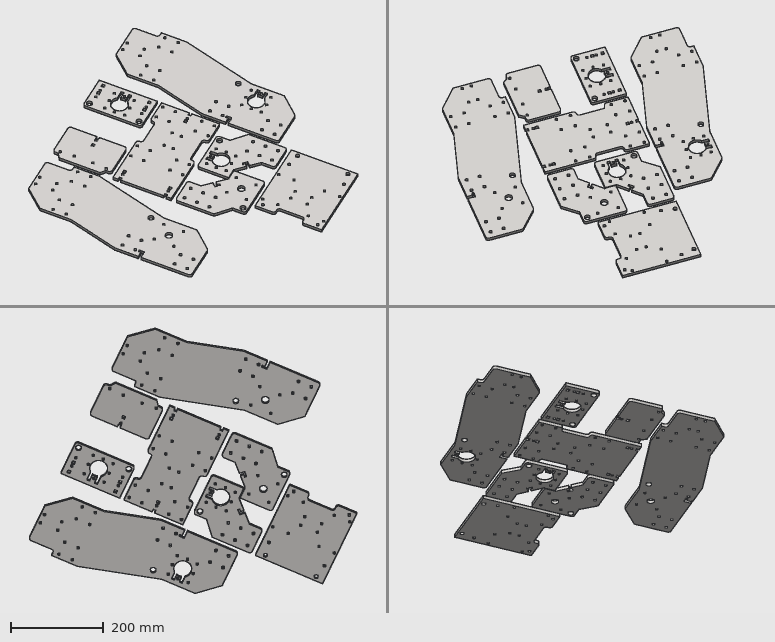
import cadquery as cq
import math


THICKNESS = 8.0
SHEET_LENGTH = 621.5
SHEET_WIDTH = 604.0
PLATE_GAP = 10.0
CORNER_RADIUS = 6.0

SMALL_HOLE = 5.3
SCREW_HOLE = 5.5
FRAME_HOLE = 6.0
MOUNT_HOLE = 9.0
CORNER_HOLE = 12.5
SHAFT_HOLE = 16.0
TAB_SLOT = 6.0

BORE_DIAMETER = 38.5
MOTOR_SCREW_OFFSET = 23.5
MIDDLE_HOLE_OFFSET = 25.0
RELIEF_INNER = 5.9
RELIEF_OUTER = 12.5
RELIEF_REACH = 30.5

HOOK_SLOT_WIDTH = 6.0
HOOK_ARM_LENGTH = 6.0
HOOK_ARM_WIDTH = 4.05

SIDE_LENGTH = 426.0
SIDE_WIDTH = 172.0
NARROW_WIDTH = 140.0
MOTOR_PLATE_DEPTH = 80.0
REAR_PLATE_DEPTH = 91.0
BED_WIDTH = 160.0
BED_DEPTH = 179.5
MIDDLE_TOP = SHEET_WIDTH / 2 - SIDE_WIDTH - PLATE_GAP
BASE_DEPTH = 2 * MIDDLE_TOP


def plate_from(points):
    return cq.Workplane("XY").polyline(points).close().extrude(THICKNESS)


def rectangle(left, right, bottom, top):
    return plate_from([(left, bottom), (right, bottom), (right, top), (left, top)])


def mirrored(points):
    """The points followed by their mirror images across the Y axis."""
    return points + [(-x, y) for x, y in points]


def grid(x_values, y_values):
    return [(x, y) for x in x_values for y in y_values]


def round_corners(plate, points, radius=CORNER_RADIUS):
    for x, y in points:
        corner = cq.selectors.NearestToPointSelector((x, y, THICKNESS / 2))
        plate = plate.edges(corner).fillet(radius)
    return plate


def drill(plate, points, diameter):
    drills = cq.Workplane("XY").pushPoints(points).circle(diameter / 2).extrude(THICKNESS)
    return plate.cut(drills)


def cut_squares(plate, points):
    squares = cq.Workplane("XY").pushPoints(points).rect(TAB_SLOT, TAB_SLOT).extrude(THICKNESS)
    return plate.cut(squares)


def cut_motor_corners(plate, center):
    x, y = center
    offsets = (-MOTOR_SCREW_OFFSET, MOTOR_SCREW_OFFSET)
    return drill(plate, [(x + dx, y + dy) for dx, dy in grid(offsets, offsets)], SMALL_HOLE)


def cut_motor_mount(plate, center, relief_reach=RELIEF_REACH, turn=0):
    """Motor bore with two relief slots (toward +Y, then turned), corner screws and middle holes."""
    opening = cq.Workplane("XY").circle(BORE_DIAMETER / 2).extrude(THICKNESS)
    opening = opening.union(rectangle(-RELIEF_OUTER, -RELIEF_INNER, 0, relief_reach))
    opening = opening.union(rectangle(RELIEF_INNER, RELIEF_OUTER, 0, relief_reach))
    middle_holes = (
        cq.Workplane("XY")
        .polarArray(MIDDLE_HOLE_OFFSET, 0, 360, 4)
        .circle(SMALL_HOLE / 2)
        .extrude(THICKNESS)
    )
    opening = opening.rotate((0, 0, 0), (0, 0, 1), turn).translate((*center, 0))
    plate = plate.cut(opening).cut(middle_holes.translate((*center, 0)))
    return cut_motor_corners(plate, center)


def cut_hook_slot(plate, mouth, depth, turn=0):
    """L-shaped slot entering at the mouth toward +Y, its arm toward -X, then turned."""
    half = HOOK_SLOT_WIDTH / 2
    overrun = 1.0
    slot = rectangle(-half, half, -overrun, depth)
    slot = slot.union(rectangle(-half - HOOK_ARM_LENGTH, half, depth - HOOK_ARM_WIDTH, depth))
    return plate.cut(slot.rotate((0, 0, 0), (0, 0, 1), turn).translate((*mouth, 0)))


SIDE_MOTOR_CENTER = (332.0, 84.0)
LONG_SLOPE = math.tan(math.radians(15))


def side_plate_blank():
    step_x, step_y = 61.0, 159.0
    left_slope_start = 73.5
    left_foot = (47.0, 32.5)
    bend_x = 122.0
    top_flat = 124.0
    nose = (380.0, 83.0)
    plate = plate_from([
        (0, left_slope_start),
        left_foot,
        (bend_x, left_foot[1]),
        (bend_x + left_foot[1] / LONG_SLOPE, 0),
        (SIDE_LENGTH, 0),
        (SIDE_LENGTH, nose[1]),
        (nose[0], top_flat),
        (bend_x + (SIDE_WIDTH - top_flat) / LONG_SLOPE, top_flat),
        (bend_x, SIDE_WIDTH),
        (step_x, SIDE_WIDTH),
        (step_x, step_y),
        (0, step_y),
    ])
    plate = round_corners(plate, [
        (SIDE_LENGTH, 0), (SIDE_LENGTH, nose[1]), (step_x, step_y), (0, step_y),
    ])

    tail_y = 102.5
    tail_rows = [tail_y + dy for dy in (-60.0, -30.0, 30.0, 60.0)]
    plate = drill(plate, grid((74.0, 105.5), tail_rows), SCREW_HOLE)
    plate = drill(plate, grid((7.5, 48.5), (tail_y - 10.5, tail_y + 10.5)), SCREW_HOLE)

    frame_columns = [SIDE_MOTOR_CENTER[0] + dx for dx in (-77.5, -47.0, 47.0, 77.5)]
    plate = drill(plate, grid(frame_columns, (15.0, 45.0)), FRAME_HOLE)

    plate = drill(plate, [(275.0, 112.5)], CORNER_HOLE)
    return cut_hook_slot(plate, (302.0, 0), 17.5)


def motor_side_plate():
    return cut_motor_mount(side_plate_blank(), SIDE_MOTOR_CENTER)


def shaft_side_plate():
    plate = drill(side_plate_blank(), [SIDE_MOTOR_CENTER], SHAFT_HOLE)
    return cut_motor_corners(plate, SIDE_MOTOR_CENTER)


def motor_plate():
    half = NARROW_WIDTH / 2
    plate = rectangle(-half, half, -MOTOR_PLATE_DEPTH, 0)
    plate = round_corners(plate, mirrored([(half, -MOTOR_PLATE_DEPTH)]))
    plate = cut_motor_mount(plate, (0, -43.5), relief_reach=34.0)
    tab_x = 55.5
    plate = cut_squares(plate, mirrored([(tab_x, -10.5), (tab_x, -34.0)]))
    plate = drill(plate, mirrored([(tab_x, -25.5), (tab_x, -46.5)]), SCREW_HOLE)
    return drill(plate, mirrored([(59.5, -69.5)]), CORNER_HOLE)


def rear_plate():
    half = NARROW_WIDTH / 2
    shoulder_y = -79.5
    plate = plate_from([
        (-half, 0),
        (half, 0),
        (half, shoulder_y),
        (57.0, shoulder_y),
        (49.0, -REAR_PLATE_DEPTH),
        (-49.0, -REAR_PLATE_DEPTH),
        (-57.0, shoulder_y),
        (-half, shoulder_y),
    ])
    plate = round_corners(plate, mirrored([(half, 0), (half, shoulder_y)]))
    plate = cut_squares(plate, [(0, -TAB_SLOT / 2), (0, -25.5)])
    plate = drill(plate, [(0, -10.5)], SCREW_HOLE)
    return drill(plate, mirrored([(55.5, -74.0), (22.5, -72.0)]), SCREW_HOLE)


def base_plate():
    half = NARROW_WIDTH / 2
    waist = half - 13.0
    waist_top = -56.5
    waist_bottom = -121.0
    plate = rectangle(-half, half, -BASE_DEPTH, 0)
    plate = plate.cut(rectangle(waist, half, waist_bottom, waist_top))
    plate = plate.cut(rectangle(-half, -waist, waist_bottom, waist_top))
    plate = round_corners(plate, mirrored(grid((half, waist), (waist_bottom, waist_top))))

    screw_columns = (-62.0, -32.0, 32.0, 62.0)
    plate = drill(plate, grid(screw_columns, (-10.0, -41.5, -135.0, -167.0)), SCREW_HOLE)
    plate = drill(plate, grid((-11.0, 11.0), (-68.5, -108.0)), SCREW_HOLE)

    hole_inset = 17.0
    square_inset = 25.5
    for x, edge_y, inward in ((0, 0, -1), (-55.0, -BASE_DEPTH, 1), (55.0, -BASE_DEPTH, 1)):
        plate = cut_squares(plate, [
            (x, edge_y + inward * TAB_SLOT / 2),
            (x, edge_y + inward * square_inset),
        ])
        plate = drill(plate, [(x, edge_y + inward * hole_inset)], SCREW_HOLE)
    return plate


def bed_plate():
    half = BED_WIDTH / 2
    recess_half = 32.5
    recess_y = 15.5 - BED_DEPTH
    plate = rectangle(-half, half, -BED_DEPTH, 0)
    plate = plate.cut(rectangle(-recess_half, recess_half, -BED_DEPTH, recess_y))
    plate = round_corners(plate, mirrored(grid((recess_half,), (recess_y, -BED_DEPTH))))
    plate = drill(plate, mirrored([(60.0, -9.5)]), MOUNT_HOLE)
    plate = drill(plate, mirrored([(66.0, -40.0), (66.0, -169.5)]), FRAME_HOLE)
    plate = drill(plate, mirrored(grid((36.5, 73.5), (-76.0, -155.5))), SMALL_HOLE)
    return drill(plate, mirrored(grid((20.0,), (-104.5, -126.0))), SMALL_HOLE)


BRACKET_WIDTH = SHEET_LENGTH - 2 * NARROW_WIDTH - BED_WIDTH - 3 * PLATE_GAP
BRACKET_MOTOR_CENTER = (-38.0, 28.0)
BRACKET_SLOPE_ANGLE = 45


def bracket_blank():
    half = BRACKET_WIDTH / 2
    inner_edge = -0.95
    shoulder_y = 87.0
    bottom_y = -12.0
    arm_y = 59.0
    arm_root_x = 44.0
    slope = math.tan(math.radians(BRACKET_SLOPE_ANGLE))
    slope_foot_x = -45.5
    slope_top_x = -17.0
    plate = plate_from([
        (-half, shoulder_y),
        (slope_foot_x, shoulder_y),
        (slope_top_x, MIDDLE_TOP),
        (half, MIDDLE_TOP),
        (half, arm_y),
        (arm_root_x, arm_y),
        (inner_edge, arm_y - slope * (arm_root_x - inner_edge)),
        (inner_edge, bottom_y),
        (-half, bottom_y),
    ])
    plate = round_corners(plate, [
        (-half, shoulder_y), (half, MIDDLE_TOP), (half, arm_y), (-half, bottom_y),
    ])
    plate = drill(plate, grid((1.0, 31.0, 61.0), (75.0, 105.5)), FRAME_HOLE)
    plate = drill(plate, [(-65.0, 76.5)], CORNER_HOLE)
    mouth_x = 22.5
    mouth_y = arm_y - slope * (arm_root_x - mouth_x)
    return cut_hook_slot(plate, (mouth_x, mouth_y), 12.0, turn=BRACKET_SLOPE_ANGLE)


def motor_bracket():
    return cut_motor_mount(bracket_blank(), BRACKET_MOTOR_CENTER, turn=90)


def shaft_bracket():
    plate = drill(bracket_blank(), [BRACKET_MOTOR_CENTER], SHAFT_HOLE)
    plate = cut_motor_corners(plate, BRACKET_MOTOR_CENTER)
    return plate.rotate((0, 0, 0), (0, 0, 1), 180)


left_edge = -SHEET_LENGTH / 2
first_column = left_edge + NARROW_WIDTH / 2
second_column = first_column + NARROW_WIDTH + PLATE_GAP
bracket_column = second_column + NARROW_WIDTH / 2 + PLATE_GAP + BRACKET_WIDTH / 2
bed_column = SHEET_LENGTH / 2 - BED_WIDTH / 2

placed_plates = [
    motor_side_plate().translate((left_edge, SHEET_WIDTH / 2 - SIDE_WIDTH, 0)),
    shaft_side_plate().translate((left_edge, -SHEET_WIDTH / 2, 0)),
    motor_plate().translate((first_column, MIDDLE_TOP, 0)),
    rear_plate().translate((first_column, REAR_PLATE_DEPTH - MIDDLE_TOP, 0)),
    base_plate().translate((second_column, MIDDLE_TOP, 0)),
    motor_bracket().translate((bracket_column, 0, 0)),
    shaft_bracket().translate((bracket_column, 0, 0)),
    bed_plate().translate((bed_column, MIDDLE_TOP, 0)),
]

result = cq.Compound.makeCompound([plate.val() for plate in placed_plates])